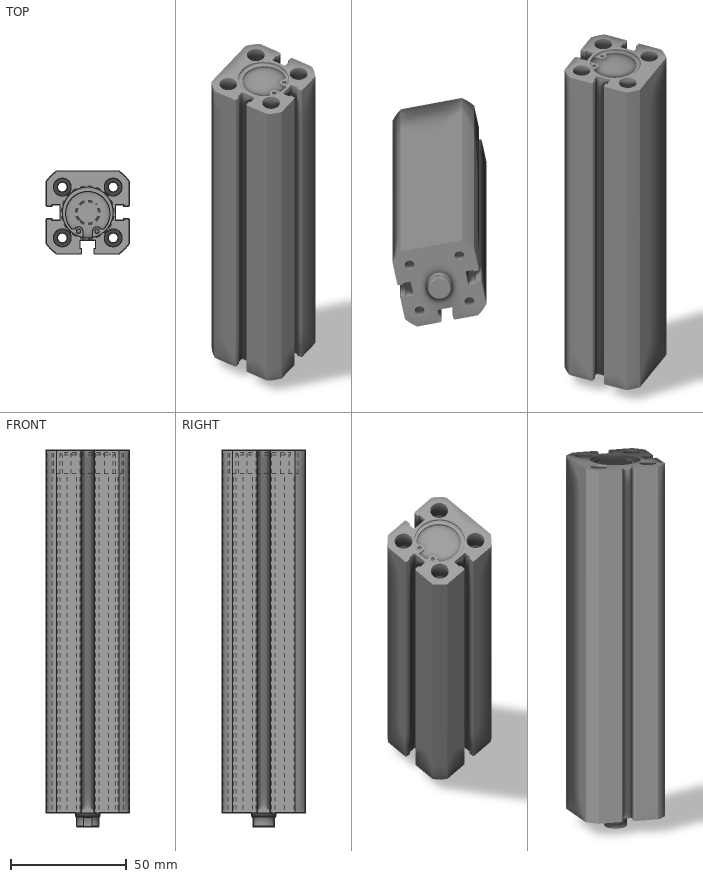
import cadquery as cq
import math

body_width = 36.0
body_length = 157.0
corner_radius = 22.5
half_width = body_width / 2

slot_mouth_width = 5.2
slot_inner_width = 6.6
slot_lip = 2.5
slot_depth = 5.9
slot_edge_chamfer = 0.4

hole_pitch = 22.0
hole_diameter = 4.2
counterbore_diameter = 7.7
counterbore_depth = 10.0

bore_radius = 11.0
ring_recess = 1.0
ring_thickness = 1.0
groove_radius = 11.5
cap_thickness = 8.0
ring_bottom = body_length - ring_recess - ring_thickness
cap_bottom = ring_bottom - cap_thickness

ring_inner_radius = 9.6
ring_inner_offset = 0.5
ring_half_gap = 2.15
lug_radius = 1.85
lug_x = ring_half_gap + lug_radius
lug_y = -8.1
lug_shoulder_y = -7.2
lug_hole_radius = 0.95

rod_diameter = 9.8
rod_projection = 6.0
rod_chamfer = 0.3
rod_flat_width = 3.6
rod_flat_height = 4.0
wiper_diameter = 10.6
wiper_height = 1.7
wiper_chamfer = 0.3


def cylinder(radius, bottom, height):
    return cq.Workplane("XY").workplane(offset=bottom).circle(radius).extrude(height)


def slot_cutter(angle):
    """T-slot cutter for the -Y side, turned about Z by the given angle."""
    lip_y = -half_width + slot_lip
    floor_y = -half_width + slot_depth
    half_mouth = slot_mouth_width / 2
    half_inner = slot_inner_width / 2
    outline = [
        (-half_mouth - slot_edge_chamfer, -half_width),
        (-half_mouth, -half_width + slot_edge_chamfer),
        (-half_mouth, lip_y),
        (-half_inner, lip_y),
        (-half_inner, floor_y),
        (half_inner, floor_y),
        (half_inner, lip_y),
        (half_mouth, lip_y),
        (half_mouth, -half_width + slot_edge_chamfer),
        (half_mouth + slot_edge_chamfer, -half_width),
    ]
    cutter = cq.Workplane("XY").polyline(outline).close().extrude(body_length)
    return cutter.rotate((0, 0, 0), (0, 0, 1), angle)


def make_housing():
    housing = cq.Workplane("XY").rect(body_width, body_width).extrude(body_length)
    housing = housing.intersect(cylinder(corner_radius, 0, body_length))
    for angle in (-90, 0, 90):
        housing = housing.cut(slot_cutter(angle))
    housing = (
        housing.faces(">Z").workplane(origin=(0, 0, body_length))
        .rect(hole_pitch, hole_pitch, forConstruction=True).vertices()
        .cboreHole(hole_diameter, counterbore_diameter, counterbore_depth)
    )
    housing = housing.cut(cylinder(bore_radius, cap_bottom, body_length - cap_bottom))
    housing = housing.cut(cylinder(groove_radius, ring_bottom, ring_thickness))
    return housing.cut(cylinder(rod_diameter / 2, 0, cap_bottom))


def make_cap():
    return cylinder(bore_radius, cap_bottom, cap_thickness)


def ring_block(x_min, x_max, y_min, y_max):
    """Rectangular block as thick as the retaining ring."""
    return cq.Workplane("XY").box(
        x_max - x_min, y_max - y_min, ring_thickness, centered=False
    ).translate((x_min, y_min, ring_bottom))


def make_retaining_ring():
    disc = cylinder(groove_radius, ring_bottom, ring_thickness)
    opening = cylinder(ring_inner_radius, ring_bottom, ring_thickness)
    opening = opening.translate((0, -ring_inner_offset, 0))
    gap = ring_block(-ring_half_gap, ring_half_gap, -groove_radius, 0)
    ring = disc.cut(opening).cut(gap)
    for side in (-1, 1):
        eye_x = side * lug_x
        eye = cylinder(lug_radius, ring_bottom, ring_thickness).translate((eye_x, lug_y, 0))
        inner_x = side * ring_half_gap
        outer_x = side * bore_radius
        foot = ring_block(min(inner_x, eye_x), max(inner_x, eye_x), -groove_radius, lug_y)
        shoulder = ring_block(min(eye_x, outer_x), max(eye_x, outer_x), -groove_radius, lug_shoulder_y)
        lug = eye.union(foot).union(shoulder).intersect(disc)
        eye_hole = cylinder(lug_hole_radius, ring_bottom, ring_thickness).translate((eye_x, lug_y, 0))
        ring = ring.union(lug).cut(eye_hole)
    return ring


def make_rod():
    radius = rod_diameter / 2
    rod = cylinder(radius, -rod_projection, rod_projection + cap_bottom)
    rod = rod.faces("<Z").chamfer(rod_chamfer)
    flat_y = math.sqrt(radius**2 - (rod_flat_width / 2) ** 2)
    for side in (-1, 1):
        flat = cq.Workplane("XY").box(rod_diameter, radius, rod_flat_height, centered=(True, True, False))
        rod = rod.cut(flat.translate((0, side * (flat_y + radius / 2), -rod_projection)))
    return rod


def make_wiper():
    wiper = cylinder(wiper_diameter / 2, -wiper_height, wiper_height)
    wiper = wiper.faces("<Z").chamfer(wiper_chamfer)
    return wiper.cut(cylinder(rod_diameter / 2, -wiper_height, wiper_height))


housing = make_housing()
cap = make_cap()
retaining_ring = make_retaining_ring()
rod = make_rod()
wiper = make_wiper()

result = cq.Compound.makeCompound(
    [housing.val(), cap.val(), retaining_ring.val(), rod.val(), wiper.val()]
)